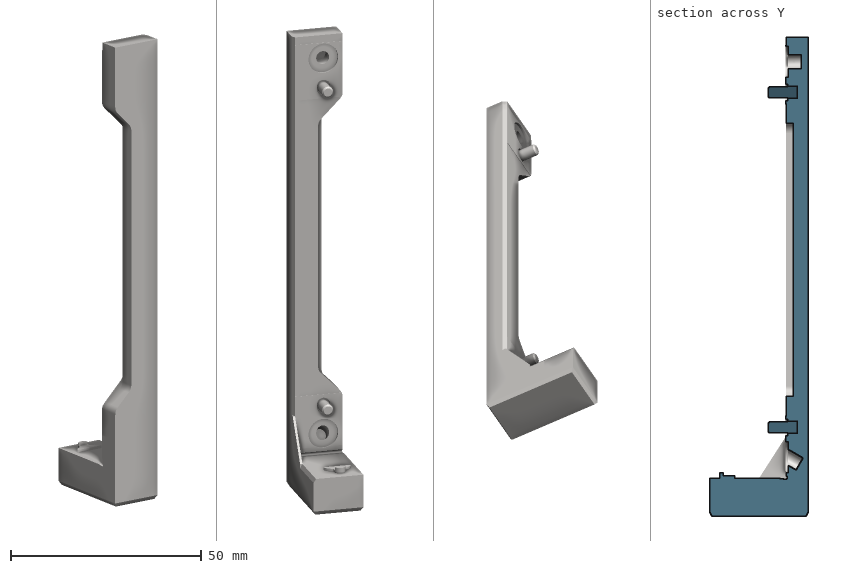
import cadquery as cq
import math

LENGTH = 26.0
WIDTH = 13.6
HEIGHT = 126.0

FOOT_HEIGHT = 10.1
COLUMN_DEPTH = 5.9
COLUMN_FACE_X = LENGTH - COLUMN_DEPTH

WAIST_BOTTOM_Z = 26.5
WAIST_TOP_Z = 108.6
WAIST_CUT = 5.2
LEDGE_CUT = 6.7
LEDGE_DEPTH = 1.9
WAIST_FILLET = 2.6

BEVEL_SIDE = 0.6
BEVEL_ANGLE = 30.0
BEVEL_FACE = BEVEL_SIDE / math.tan(math.radians(BEVEL_ANGLE))

GUSSET_LENGTH = 7.0
GUSSET_HEIGHT = 11.0
GUSSET_THICKNESS = BEVEL_SIDE

RELIEF_RADIUS = 0.44
RELIEF_OFFSET_X = 0.1
RELIEF_OFFSET_Z = 0.19
RELIEF_X = COLUMN_FACE_X - RELIEF_OFFSET_X
RELIEF_Z = FOOT_HEIGHT + RELIEF_OFFSET_Z
RELIEF_RAMP_LENGTH = 1.5
RELIEF_RAMP_ANGLE = 8.0

PAD_RISE = 0.1
PAD_FACE_X = COLUMN_FACE_X - PAD_RISE
LOWER_PAD_Z = (12.0, WAIST_BOTTOM_Z)
UPPER_PAD_Z = (108.5, 123.9)

FEATURE_Y = 5.3
LOWER_SCREW_Z = 15.6
UPPER_SCREW_Z = 119.6
RECESS_DIAMETER = 8.1
RECESS_DEPTH = 0.6
RECESS_FLOOR_X = PAD_FACE_X + RECESS_DEPTH
SCREW_DIAMETER = 3.5
SCREW_DEPTH = 3.5
LOWER_SCREW_TILT = 30.0

PIN_HEIGHTS = (23.4, 111.5)
PIN_DIAMETER = 3.0
PIN_TIP_CHAMFER = 0.4
PIN_TIP_X = 15.4
PIN_LENGTH = 7.5
SLOT_WIDTH = 3.5
SLOT_HEIGHT = 4.2
SLOT_DEPTH = 0.5

POST_DIAMETER = 3.0
POST_X = 4.2
POST_FLAT_X = 3.7
POST_HEIGHT = 1.5
TAB_HEIGHT = 0.8
TAB_NECK_X = 4.7
TAB_BULGE = (5.3, 2.8)
TAB_END_X = 6.7
TAB_HALF_WIDTH = 3.8


def box(x_range, y_range, z_range):
    """Axis-aligned box between the given limits."""
    low, high = zip(x_range, y_range, z_range)
    size = [end - start for start, end in zip(low, high)]
    return cq.Workplane("XY").box(*size, centered=False).translate(low)


def rod_along_x(diameter, x_start, length, z):
    """Cylinder pointing in +X from x_start, at the common Y of the holes and pins."""
    start = cq.Vector(x_start, FEATURE_Y, z)
    return cq.Workplane(cq.Solid.makeCylinder(diameter / 2, length, start, cq.Vector(1, 0, 0)))


def make_l_block():
    """Foot and column in one piece, with a chamfer around the base."""
    outline = [
        (0, 0),
        (LENGTH, 0),
        (LENGTH, HEIGHT),
        (COLUMN_FACE_X, HEIGHT),
        (COLUMN_FACE_X, FOOT_HEIGHT),
        (0, FOOT_HEIGHT),
    ]
    block = cq.Workplane("XZ").polyline(outline).close().extrude(-WIDTH)
    base = cq.Workplane("XY").rect(LENGTH, WIDTH, centered=False)
    tapered_base = (
        cq.Workplane("XY", origin=(LENGTH / 2, WIDTH / 2, BEVEL_FACE))
        .rect(LENGTH, WIDTH)
        .extrude(-BEVEL_FACE, taper=BEVEL_ANGLE)
    )
    return block.cut(base.extrude(BEVEL_FACE)).union(tapered_base)


def inner_corner_relief():
    """Round groove in the inner corner, with a shallow ramp leading to it along the foot."""
    ramp_start_x = COLUMN_FACE_X - RELIEF_RAMP_LENGTH
    ramp_drop = (RELIEF_X - ramp_start_x) * math.tan(math.radians(RELIEF_RAMP_ANGLE))
    ramp_outline = [
        (ramp_start_x, FOOT_HEIGHT),
        (RELIEF_X, FOOT_HEIGHT - ramp_drop),
        (RELIEF_X, FOOT_HEIGHT),
    ]
    ramp = cq.Workplane("XZ").polyline(ramp_outline).close().extrude(-WIDTH)
    groove = cq.Workplane("XZ").center(RELIEF_X, RELIEF_Z).circle(RELIEF_RADIUS).extrude(-WIDTH)
    return groove.union(ramp)


def inner_edge_bevels():
    """Wedges along the +Y edges of the column face and of the foot top."""
    column_wedge = [
        (COLUMN_FACE_X, WIDTH - BEVEL_SIDE),
        (COLUMN_FACE_X, WIDTH),
        (COLUMN_FACE_X + BEVEL_FACE, WIDTH),
    ]
    foot_wedge = [
        (WIDTH - BEVEL_SIDE, FOOT_HEIGHT),
        (WIDTH, FOOT_HEIGHT),
        (WIDTH, FOOT_HEIGHT - BEVEL_FACE),
    ]
    column_cut = (
        cq.Workplane("XY", origin=(0, 0, FOOT_HEIGHT))
        .polyline(column_wedge)
        .close()
        .extrude(HEIGHT - FOOT_HEIGHT)
    )
    foot_cut = cq.Workplane("YZ").polyline(foot_wedge).close().extrude(COLUMN_FACE_X)
    return column_cut.union(foot_cut)


def waist_cut(cut_depth, x_start, x_end):
    """Trapezoid cut into the -Y side, with rounded inner and outer corners."""
    bottom_z = WAIST_BOTTOM_Z - 2 * WAIST_FILLET
    top_z = WAIST_TOP_Z + 2 * WAIST_FILLET
    outline = [
        (-WAIST_FILLET, bottom_z),
        (0, bottom_z),
        (0, WAIST_BOTTOM_Z),
        (cut_depth, WAIST_BOTTOM_Z + cut_depth),
        (cut_depth, WAIST_TOP_Z - cut_depth),
        (0, WAIST_TOP_Z),
        (0, top_z),
        (-WAIST_FILLET, top_z),
    ]
    flank_corners = cq.selectors.BoxSelector(
        (x_start, -WAIST_FILLET / 2, WAIST_BOTTOM_Z - WAIST_FILLET),
        (x_end, cut_depth + WAIST_FILLET, WAIST_TOP_Z + WAIST_FILLET),
    )
    return (
        cq.Workplane("YZ", origin=(x_start, 0, 0))
        .polyline(outline)
        .close()
        .extrude(x_end - x_start)
        .edges("|X")
        .edges(flank_corners)
        .fillet(WAIST_FILLET)
    )


def make_gusset():
    """Thin triangular web between the foot and the column, flush with the +Y side."""
    start_x = COLUMN_FACE_X - GUSSET_LENGTH
    outline = [
        (start_x, FOOT_HEIGHT),
        (start_x, FOOT_HEIGHT - BEVEL_FACE),
        (COLUMN_FACE_X + BEVEL_FACE, FOOT_HEIGHT - BEVEL_FACE),
        (COLUMN_FACE_X + BEVEL_FACE, FOOT_HEIGHT + GUSSET_HEIGHT),
        (COLUMN_FACE_X, FOOT_HEIGHT + GUSSET_HEIGHT),
    ]
    web = cq.Workplane("XZ", origin=(0, WIDTH - GUSSET_THICKNESS, 0))
    return web.polyline(outline).close().extrude(-GUSSET_THICKNESS)


def make_marker():
    """Raised half-round post and flared tab on the foot."""
    tab_z = FOOT_HEIGHT + TAB_HEIGHT
    full_post = (
        cq.Workplane("XY", origin=(POST_X, FEATURE_Y, FOOT_HEIGHT))
        .circle(POST_DIAMETER / 2)
        .extrude(POST_HEIGHT)
    )
    tall_side = box(
        (POST_X - POST_DIAMETER, POST_FLAT_X),
        (FEATURE_Y - POST_DIAMETER, FEATURE_Y + POST_DIAMETER),
        (FOOT_HEIGHT, FOOT_HEIGHT + POST_HEIGHT),
    )
    low_side = box((POST_FLAT_X, TAB_END_X), (0, WIDTH), (FOOT_HEIGHT, tab_z))
    post = full_post.intersect(tall_side.union(low_side))
    neck = POST_DIAMETER / 2
    bulge_x, bulge_y = TAB_BULGE
    tab = (
        cq.Workplane("XY", origin=(0, FEATURE_Y, FOOT_HEIGHT))
        .moveTo(POST_X, -neck)
        .lineTo(TAB_NECK_X, -neck)
        .threePointArc((bulge_x, -bulge_y), (TAB_END_X, -TAB_HALF_WIDTH))
        .lineTo(TAB_END_X, TAB_HALF_WIDTH)
        .threePointArc((bulge_x, bulge_y), (TAB_NECK_X, neck))
        .lineTo(POST_X, neck)
        .close()
        .extrude(TAB_HEIGHT)
    )
    return post.union(tab)


def make_pads():
    """Raised contact pads around the holes and pins."""
    y_range = (0, WIDTH - BEVEL_SIDE)
    x_range = (PAD_FACE_X, COLUMN_FACE_X)
    return [box(x_range, y_range, z_range) for z_range in (LOWER_PAD_Z, UPPER_PAD_Z)]


def screw_recess(z):
    return rod_along_x(RECESS_DIAMETER, PAD_FACE_X, RECESS_DEPTH, z)


def tilted_screw_hole():
    """Blind hole that starts at the lower recess and runs down into the column."""
    tilt = math.radians(LOWER_SCREW_TILT)
    direction = cq.Vector(math.cos(tilt), 0, -math.sin(tilt))
    floor_center = cq.Vector(RECESS_FLOOR_X, FEATURE_Y, LOWER_SCREW_Z)
    start = floor_center - direction * SCREW_DIAMETER
    hole = cq.Solid.makeCylinder(SCREW_DIAMETER / 2, SCREW_DIAMETER + SCREW_DEPTH, start, direction)
    behind_floor = box((RECESS_FLOOR_X, LENGTH), (0, WIDTH), (0, HEIGHT))
    return behind_floor.intersect(cq.Workplane(hole))


def pin_slot(z):
    """Shallow upright slot around a pin."""
    return (
        cq.Workplane("YZ", origin=(PAD_FACE_X, FEATURE_Y, z))
        .slot2D(SLOT_HEIGHT, SLOT_WIDTH, 90)
        .extrude(SLOT_DEPTH)
    )


def make_pin(z):
    """Dowel pin with a chamfered tip."""
    return rod_along_x(PIN_DIAMETER, PIN_TIP_X, PIN_LENGTH, z).faces("<X").chamfer(PIN_TIP_CHAMFER)


def make_bracket():
    bracket = make_l_block().cut(inner_corner_relief()).cut(inner_edge_bevels())
    bracket = bracket.union(make_gusset()).union(make_marker())
    for pad in make_pads():
        bracket = bracket.union(pad)
    ledge_end_x = COLUMN_FACE_X + LEDGE_DEPTH
    bracket = bracket.cut(waist_cut(WAIST_CUT, PAD_FACE_X, LENGTH))
    bracket = bracket.cut(waist_cut(LEDGE_CUT, PAD_FACE_X, ledge_end_x))
    for z in (LOWER_SCREW_Z, UPPER_SCREW_Z):
        bracket = bracket.cut(screw_recess(z))
    bracket = bracket.cut(tilted_screw_hole())
    bracket = bracket.cut(rod_along_x(SCREW_DIAMETER, RECESS_FLOOR_X, SCREW_DEPTH, UPPER_SCREW_Z))
    for z in PIN_HEIGHTS:
        bracket = bracket.cut(pin_slot(z))
        bracket = bracket.cut(rod_along_x(PIN_DIAMETER, PIN_TIP_X, PIN_LENGTH, z))
    return bracket


bracket = make_bracket()
pins = [make_pin(z) for z in PIN_HEIGHTS]

result = cq.Compound.makeCompound([bracket.val(), *[pin.val() for pin in pins]])